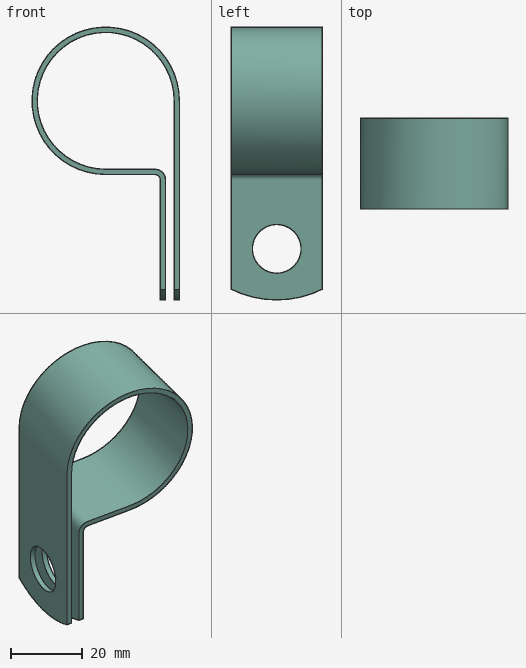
import cadquery as cq
import math

inner_diameter = 38.1
thickness = 1.524
width = 25.4
leg_gap = 2.36
bend_inner_radius = 1.45
overall_height = 76.12
hole_diameter = 13.5
hole_axis_drop = 41.28
tip_radius = 28.575

inner_radius = inner_diameter / 2
outer_radius = inner_radius + thickness
bend_outer_radius = bend_inner_radius + thickness
tip_z = outer_radius - overall_height
short_leg_outer_x = inner_radius - leg_gap
short_leg_inner_x = short_leg_outer_x - thickness
bend_center_x = short_leg_outer_x - bend_outer_radius
bend_center_z = -inner_radius - bend_outer_radius
tip_rise = tip_radius - math.sqrt(tip_radius**2 - (width / 2) ** 2)


def make_strap():
    """Bent strap: long leg, 270-degree loop, flat, bend and short leg."""
    diagonal = math.sqrt(0.5)
    bend_outer_offset = bend_outer_radius * diagonal
    bend_inner_offset = bend_inner_radius * diagonal
    bend_outer_mid = (bend_center_x + bend_outer_offset, bend_center_z + bend_outer_offset)
    bend_inner_mid = (bend_center_x + bend_inner_offset, bend_center_z + bend_inner_offset)
    return (
        cq.Workplane("XZ")
        .moveTo(outer_radius, tip_z)
        .lineTo(outer_radius, 0)
        .threePointArc((-outer_radius * diagonal, outer_radius * diagonal), (0, -outer_radius))
        .lineTo(bend_center_x, -outer_radius)
        .threePointArc(bend_inner_mid, (short_leg_inner_x, bend_center_z))
        .lineTo(short_leg_inner_x, tip_z)
        .lineTo(short_leg_outer_x, tip_z)
        .lineTo(short_leg_outer_x, bend_center_z)
        .threePointArc(bend_outer_mid, (bend_center_x, -inner_radius))
        .lineTo(0, -inner_radius)
        .threePointArc((-inner_radius * diagonal, inner_radius * diagonal), (inner_radius, 0))
        .lineTo(inner_radius, tip_z)
        .close()
        .extrude(width / 2, both=True)
    )


def make_side_envelope():
    """Side silhouette of the strap, with the arc that rounds the leg tips."""
    corner_z = tip_z + tip_rise
    return (
        cq.Workplane("YZ")
        .moveTo(-width / 2, outer_radius)
        .lineTo(-width / 2, corner_z)
        .threePointArc((0, tip_z), (width / 2, corner_z))
        .lineTo(width / 2, outer_radius)
        .close()
        .extrude(outer_radius, both=True)
    )


def make_bolt_hole():
    """Cylinder along X that passes through both legs."""
    return (
        cq.Workplane("YZ")
        .center(0, -hole_axis_drop)
        .circle(hole_diameter / 2)
        .extrude(outer_radius)
    )


result = make_strap().intersect(make_side_envelope()).cut(make_bolt_hole())